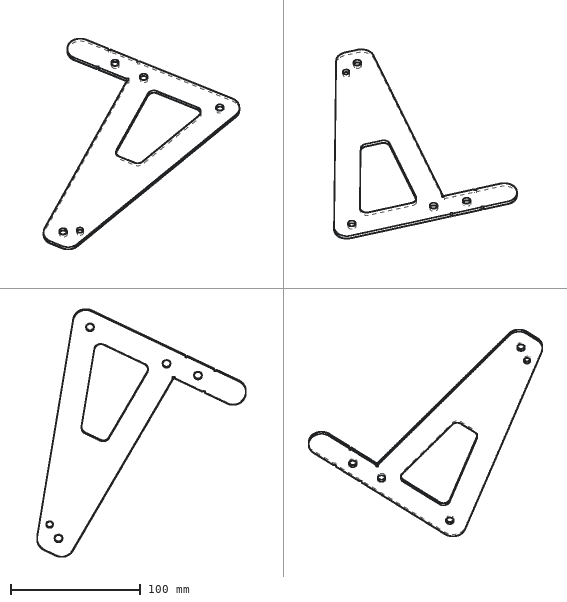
import cadquery as cq
import math

LENGTH = 187.8
WIDTH = 146.7
THICKNESS = 3.0
BAND = 20.0
CORNER_RADIUS = BAND / 2

LEFT_TAPER = math.radians(3.1)
RIGHT_TAPER = math.radians(17.2)
ARM_LENGTH = 56.2

WINDOW_BOTTOM = -90.0
WINDOW_RADIUS = 5.0

BOLT_DIAMETER = 6.0
PIN_DIAMETER = 5.0
UPPER_HOLE_Y = -12.2
BOLT_CENTRES = [
    (40.2, -BAND / 2),
    (66.1, UPPER_HOLE_Y),
    (132.0, UPPER_HOLE_Y),
    (78.9, -174.7),
]
PIN_CENTRE = (90.0, -167.7)

NOTCH_RADIUS = 1.0
OUTER_NOTCH_X = 30.2
INNER_NOTCH_X = 55.2
NOTCH_CENTRES = [
    (OUTER_NOTCH_X, 0),
    (INNER_NOTCH_X, 0),
    (OUTER_NOTCH_X, -BAND),
    (ARM_LENGTH, -BAND),
]


def left_side_x(y, inset=0):
    """X on the left side at height y, moved into the plate by a perpendicular inset."""
    return ARM_LENGTH - (y + BAND) * math.tan(LEFT_TAPER) + inset / math.cos(LEFT_TAPER)


def right_side_x(y, inset=0):
    """X on the right side at height y; its rounded top corner just reaches WIDTH."""
    corner_reach = CORNER_RADIUS * (1 + math.sin(RIGHT_TAPER)) / math.cos(RIGHT_TAPER)
    top_x = WIDTH - CORNER_RADIUS + corner_reach
    return top_x + y * math.tan(RIGHT_TAPER) - inset / math.cos(RIGHT_TAPER)


def make_body():
    """Tapered leg with rounded outer corners."""
    outline = [
        (left_side_x(0), 0),
        (right_side_x(0), 0),
        (right_side_x(-LENGTH), -LENGTH),
        (left_side_x(-LENGTH), -LENGTH),
    ]
    leg = cq.Workplane("XY").polyline(outline).close().extrude(THICKNESS)
    leg = leg.edges("|Z").edges(">X or <Y").fillet(CORNER_RADIUS)
    return leg.union(make_arm())


def make_arm():
    """Straight arm with a half-round end, overlapping the top of the leg."""
    arm_root_x = ARM_LENGTH + BAND / 2
    return (
        cq.Workplane("XY")
        .moveTo(arm_root_x, 0)
        .lineTo(CORNER_RADIUS, 0)
        .threePointArc((0, -BAND / 2), (CORNER_RADIUS, -BAND))
        .lineTo(arm_root_x, -BAND)
        .close()
        .extrude(THICKNESS)
    )


def make_window():
    """Window whose top and sides run parallel to the plate edges, one band inside them."""
    outline = [
        (left_side_x(-BAND, BAND), -BAND),
        (right_side_x(-BAND, BAND), -BAND),
        (right_side_x(WINDOW_BOTTOM, BAND), WINDOW_BOTTOM),
        (left_side_x(WINDOW_BOTTOM, BAND), WINDOW_BOTTOM),
    ]
    window = cq.Workplane("XY").polyline(outline).close().extrude(THICKNESS)
    return window.edges("|Z").fillet(WINDOW_RADIUS)


def make_cylinders(centres, diameter):
    """Through-thickness cylinders for cutting round holes and notches."""
    return cq.Workplane("XY").pushPoints(centres).circle(diameter / 2).extrude(THICKNESS)


result = (
    make_body()
    .cut(make_window())
    .cut(make_cylinders(BOLT_CENTRES, BOLT_DIAMETER))
    .cut(make_cylinders([PIN_CENTRE], PIN_DIAMETER))
    .cut(make_cylinders(NOTCH_CENTRES, 2 * NOTCH_RADIUS))
)